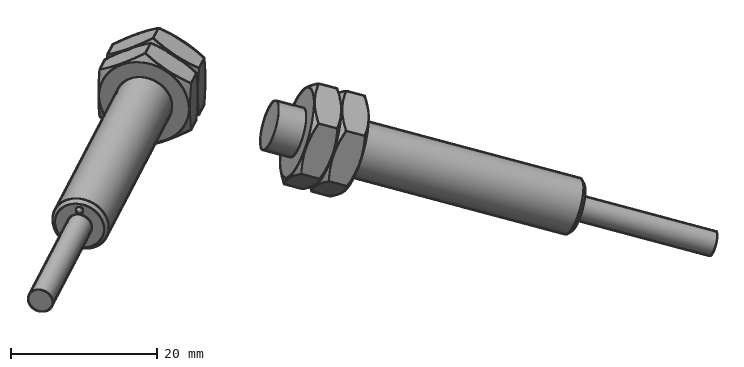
import cadquery as cq
import math

total_length = 65.0
cable_length = 20.0
stub_length = 4.0
nut_thickness = 4.0
nut_count = 2

cable_diameter = 3.5
body_diameter = 8.0
stub_diameter = 7.0
body_chamfer = 0.5

nut_across_flats = 13.0
nut_across_corners = nut_across_flats / math.cos(math.radians(30))
nut_face_diameter = 12.75
nut_chamfer_angle = 30.0

dome_radius = 0.5
dome_height = 2.5

tip_y = -total_length / 2
body_front_y = tip_y + cable_length
stub_end_y = total_length / 2
nuts_back_y = stub_end_y - stub_length
nuts_front_y = nuts_back_y - nut_count * nut_thickness


def rod(diameter, start_y, end_y):
    """Cylinder along +Y between two positions."""
    plane = cq.Plane(origin=(0, start_y, 0), xDir=(1, 0, 0), normal=(0, 1, 0))
    return cq.Workplane(plane).circle(diameter / 2).extrude(end_y - start_y)


def chamfered_nut(start_y):
    """Solid hexagonal nut with its corners turned to a cone at both faces."""
    corner_radius = nut_across_corners / 2
    face_radius = nut_face_diameter / 2
    chamfer_depth = (corner_radius - face_radius) * math.tan(math.radians(nut_chamfer_angle))
    end_y = start_y + nut_thickness

    plane = cq.Plane(origin=(0, start_y, 0), xDir=(0, 0, 1), normal=(0, 1, 0))
    hexagon = cq.Workplane(plane).polygon(6, nut_across_corners).extrude(nut_thickness)
    turned_blank = (
        cq.Workplane("XY")
        .moveTo(0, start_y)
        .lineTo(face_radius, start_y)
        .lineTo(corner_radius, start_y + chamfer_depth)
        .lineTo(corner_radius, end_y - chamfer_depth)
        .lineTo(face_radius, end_y)
        .lineTo(0, end_y)
        .close()
        .revolve(360, (0, 0, 0), (0, 1, 0))
    )
    return hexagon.intersect(turned_blank)


body = rod(body_diameter, body_front_y, nuts_back_y).faces("<Y").chamfer(body_chamfer)
cable = rod(cable_diameter, tip_y, body_front_y)
stub = rod(stub_diameter, nuts_back_y, stub_end_y)
result = body.union(cable).union(stub)

for index in range(nut_count):
    result = result.union(chamfered_nut(nuts_front_y + index * nut_thickness))

dome = cq.Workplane("XY").sphere(dome_radius).translate((0, body_front_y, dome_height))
result = result.union(dome)